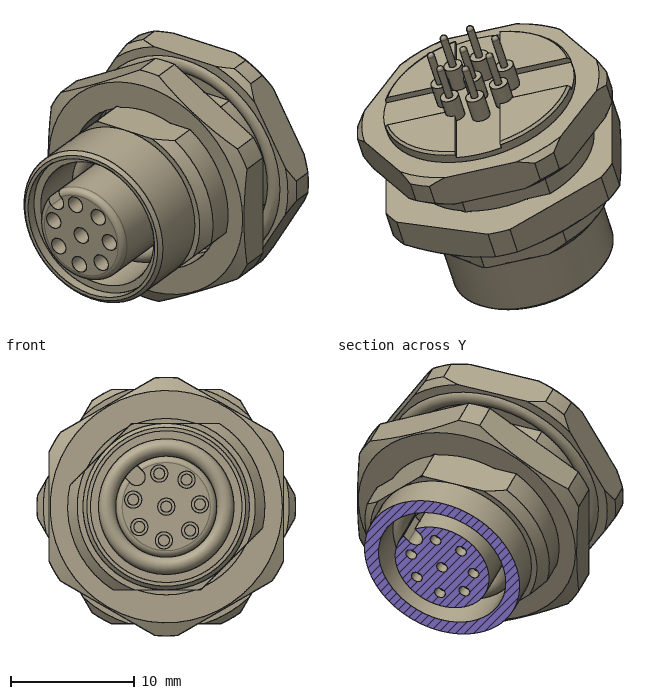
import cadquery as cq
import math


mating_face = 0.0
sleeve_front = 1.49
bore_step_depth = 0.87
body_front = 6.5
lock_nut_front = 9.49
lock_nut_back = 12.32
flange_front = 15.3
flange_back = 18.05
body_back = 18.53
back_rim_end = 19.02
collar_end = 20.53
pin_end = 23.6

body_diameter = 16.0
body_chamfer = 0.78
sleeve_diameter = 13.5
sleeve_chamfer = 0.3
bore_diameter = 12.3
cavity_diameter = 11.0
insert_diameter = 8.2
insert_rounding = 0.52
back_rim_chamfer = 0.21

hex_sides = 6
hex_across_flats = 19.02
hex_corner_diameter = 20.98
lock_nut_turn = 0.0
flange_turn = 180.0 / hex_sides
lock_nut_face_diameter = 18.83
lock_nut_chamfer_length = 0.5
lock_nut_hole_diameter = 14.3
flange_chamfer = 0.52

flange_seal_section = 1.6
flange_seal_height = 0.28
flange_seal_center_radius = 8.6
cavity_seal_crest = body_front

key_angle = 135.0
contact_circle_radius = 2.74
outer_contact_count = 7
contact_pitch = 49.0
socket_diameter = 1.4
socket_depth = 3.55
socket_core_diameter = 0.9
socket_core_depth = 4.72
collar_diameter = 1.5
pin_diameter = 0.6
pin_rounding = 0.28

key_width = 1.4
key_end_center_radius = 3.4
key_overrun = 0.24
back_slot_width = 3.78


def revolved(points):
    """Solid of revolution about Y from (radius, y) points."""
    return cq.Workplane("XY").polyline(points).close().revolve(360, (0, 0), (0, 1))


def cylinder(diameter, start, end, x=0.0, z=0.0):
    """Cylinder parallel to Y between two stations."""
    plane = cq.Plane(origin=(x, start, z), xDir=(1, 0, 0), normal=(0, 1, 0))
    return cq.Workplane(plane).circle(diameter / 2).extrude(end - start)


def hexagon(start, end, turn):
    """Hexagonal prism along Y; at zero turn its corners point along Z."""
    plane = cq.Plane(origin=(0, start, 0), xDir=(1, 0, 0), normal=(0, 1, 0))
    outline = cq.Workplane(plane).polygon(hex_sides, hex_across_flats, circumscribed=True)
    return outline.extrude(end - start).rotate((0, 0, 0), (0, 1, 0), turn)


def contact_positions():
    """(x, z) of the centre contact and of the outer ring, spread evenly about the side opposite the key."""
    positions = [(0.0, 0.0)]
    for index in range(outer_contact_count):
        offset = (index - (outer_contact_count - 1) / 2) * contact_pitch
        angle = math.radians(key_angle + 180 + offset)
        positions.append((contact_circle_radius * math.cos(angle), contact_circle_radius * math.sin(angle)))
    return positions


def make_body():
    """Round body with two pairs of flats: one pair level, one square to the key direction."""
    radius = body_diameter / 2
    body = revolved([
        (0, body_front),
        (radius - body_chamfer, body_front),
        (radius, body_front + body_chamfer),
        (radius, flange_front),
        (0, flange_front),
    ])
    length = flange_front - body_front
    slab = cq.Workplane("XY").box(2 * body_diameter, length, sleeve_diameter)
    slab = slab.translate((0, body_front + length / 2, 0))
    turned_slab = slab.rotate((0, 0, 0), (0, 1, 0), 90 - key_angle)
    return body.intersect(slab).intersect(turned_slab)


def make_sleeve():
    radius = sleeve_diameter / 2
    return revolved([
        (0, sleeve_front),
        (radius - sleeve_chamfer, sleeve_front),
        (radius, sleeve_front + sleeve_chamfer),
        (radius, body_front),
        (0, body_front),
    ])


def make_cavity():
    """Stepped ring space around the insert, closed at the bottom by a round seal."""
    inner = insert_diameter / 2
    outer = cavity_diameter / 2
    step = sleeve_front + bore_step_depth
    seal_center = cavity_seal_crest + (outer - inner) / 2
    return (
        cq.Workplane("XY")
        .moveTo(inner, sleeve_front)
        .lineTo(bore_diameter / 2, sleeve_front)
        .lineTo(bore_diameter / 2, step)
        .lineTo(outer, step)
        .lineTo(outer, seal_center)
        .threePointArc(((inner + outer) / 2, cavity_seal_crest), (inner, seal_center))
        .close()
        .revolve(360, (0, 0), (0, 1))
    )


def make_insert():
    insert = cylinder(insert_diameter, mating_face, body_front)
    return insert.faces("<Y").edges().fillet(insert_rounding)


def make_key_slot():
    """Slot along the insert, open outwards, with a round inner end."""
    outer_end = insert_diameter / 2 + key_overrun
    length = outer_end - key_end_center_radius
    depth = cavity_seal_crest - mating_face
    slot = cylinder(key_width, mating_face, cavity_seal_crest, x=key_end_center_radius)
    channel = cq.Workplane("XY").box(length, depth, key_width)
    channel = channel.translate((key_end_center_radius + length / 2, mating_face + depth / 2, 0))
    return slot.union(channel).rotate((0, 0, 0), (0, 1, 0), -key_angle)


def make_lock_nut():
    corner = hex_corner_diameter / 2
    envelope = revolved([
        (0, lock_nut_front),
        (lock_nut_face_diameter / 2, lock_nut_front),
        (corner, lock_nut_front + lock_nut_chamfer_length),
        (corner, lock_nut_back),
        (0, lock_nut_back),
    ])
    nut = hexagon(lock_nut_front, lock_nut_back, lock_nut_turn).intersect(envelope)
    return nut.cut(cylinder(lock_nut_hole_diameter, lock_nut_front, lock_nut_back))


def make_flange():
    envelope = cylinder(hex_corner_diameter, flange_front, flange_back)
    envelope = envelope.faces("<Y or >Y").edges().chamfer(flange_chamfer)
    return hexagon(flange_front, flange_back, flange_turn).intersect(envelope)


def make_flange_seal():
    center = flange_front - flange_seal_height + flange_seal_section / 2
    section = cq.Workplane("XY").center(flange_seal_center_radius, center).circle(flange_seal_section / 2)
    return section.revolve(360, (-flange_seal_center_radius, 0), (-flange_seal_center_radius, 1))


def make_back():
    """Round back of the body, its chamfered rim split by two crossing slots."""
    base = cylinder(body_diameter, flange_back, body_back)
    rim = cylinder(body_diameter, body_back, back_rim_end)
    rim = rim.faces(">Y").edges().chamfer(back_rim_chamfer)
    height = back_rim_end - body_back
    slot = cq.Workplane("XY").box(body_diameter, height, back_slot_width)
    slot = slot.translate((0, body_back + height / 2, 0))
    crossing_slot = slot.rotate((0, 0, 0), (0, 1, 0), 90)
    return base.union(rim.cut(slot).cut(crossing_slot))


def make_pin(x, z):
    collar = cylinder(collar_diameter, body_back, collar_end, x, z)
    pin = cylinder(pin_diameter, collar_end, pin_end, x, z)
    return collar.union(pin.faces(">Y").edges().fillet(pin_rounding))


def make_socket(x, z):
    mouth = cylinder(socket_diameter, mating_face, socket_depth, x, z)
    return mouth.union(cylinder(socket_core_diameter, socket_depth, socket_core_depth, x, z))


result = make_body().union(make_sleeve()).cut(make_cavity())
result = result.union(make_insert()).cut(make_key_slot())
result = result.union(make_lock_nut()).union(make_flange())
result = result.union(make_flange_seal()).union(make_back())
for contact_x, contact_z in contact_positions():
    result = result.union(make_pin(contact_x, contact_z))
    result = result.cut(make_socket(contact_x, contact_z))